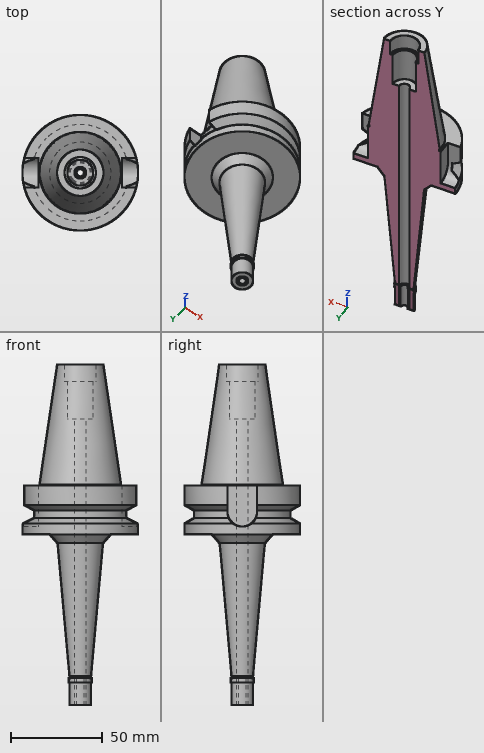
import cadquery as cq

total_height = 185.4

taper_end_radius = 12.6
taper_base_radius = 22.2
taper_length = 65.5
pilot_radius = 8.5
pilot_depth = 9.3
thread_radius = 7.0
thread_depth = 29.7
through_radius = 3.2

flange_radius = 31.5
neck_radius = 26.3
land_radius = 21.7
land_height = 0.4
flange_height = 26.7
upper_rim_height = 10.8
lower_rim_height = 6.0
upper_bevel_height = 3.0
lower_bevel_height = 3.0

slot_width = 16.1
slot_floor_distance = 22.6
slot_depth = 22.5

shoulder_top_radius = 16.7
shoulder_bottom_radius = 12.5
shoulder_height = 4.8
nose_tip_radius = 6.0
nose_bevel_radius = 5.4
nose_bevel_height = 1.1

nut_radius = 6.0
collar_radius = 6.3
nut_height = 14.6
collar_height = 2.2
collet_bore_radius = 2.0

taper_base_z = total_height - taper_length
flange_top_z = taper_base_z - land_height
flange_bottom_z = flange_top_z - flange_height
neck_top_z = flange_top_z - upper_rim_height - upper_bevel_height
neck_bottom_z = flange_bottom_z + lower_rim_height + lower_bevel_height
shoulder_bottom_z = flange_bottom_z - shoulder_height


def cylinder(radius, bottom_z, top_z):
    return cq.Workplane("XY").workplane(offset=bottom_z).circle(radius).extrude(top_z - bottom_z)


def make_holder_blank():
    """Revolve the outer profile of the holder, from the nose tip up to the taper end."""
    profile = [
        (0, nut_height),
        (nose_bevel_radius, nut_height),
        (nose_tip_radius, nut_height + nose_bevel_height),
        (shoulder_bottom_radius, shoulder_bottom_z),
        (shoulder_top_radius, flange_bottom_z),
        (flange_radius, flange_bottom_z),
        (flange_radius, flange_bottom_z + lower_rim_height),
        (neck_radius, neck_bottom_z),
        (neck_radius, neck_top_z),
        (flange_radius, flange_top_z - upper_rim_height),
        (flange_radius, flange_top_z),
        (land_radius, flange_top_z),
        (land_radius, taper_base_z),
        (taper_base_radius, taper_base_z),
        (taper_end_radius, total_height),
        (0, total_height),
    ]
    return cq.Workplane("XZ").polyline(profile).close().revolve(360, (0, 0), (0, 1))


def make_holder_bore():
    """Stepped bore: wide pilot, threaded length, then a narrow hole down to the nut."""
    pilot = cylinder(pilot_radius, total_height - pilot_depth, total_height)
    thread = cylinder(thread_radius, total_height - thread_depth, total_height)
    through = cylinder(through_radius, nut_height, total_height)
    return pilot.union(thread).union(through)


def make_drive_slot(side):
    """Round-bottomed slot, open at the top and outside; side is -1 for -X and +1 for +X."""
    slot_radius = slot_width / 2
    arc_center_z = flange_top_z - slot_depth + slot_radius
    return (
        cq.Workplane("YZ")
        .workplane(offset=side * slot_floor_distance)
        .moveTo(-slot_radius, flange_top_z)
        .lineTo(-slot_radius, arc_center_z)
        .threePointArc((0, arc_center_z - slot_radius), (slot_radius, arc_center_z))
        .lineTo(slot_radius, flange_top_z)
        .close()
        .extrude(side * flange_radius)
    )


def make_holder():
    holder = make_holder_blank().cut(make_holder_bore())
    for side in (-1, 1):
        holder = holder.cut(make_drive_slot(side))
    return holder


def make_nut():
    """Sleeve below the nose tip, with a raised collar at its top and a bore for the collet."""
    sleeve = cylinder(nut_radius, 0, nut_height)
    collar = cylinder(collar_radius, nut_height - collar_height, nut_height)
    return sleeve.union(collar).cut(cylinder(through_radius, 0, nut_height))


def make_collet():
    """Plain tube that fills the nut's bore."""
    return cylinder(through_radius, 0, nut_height).cut(cylinder(collet_bore_radius, 0, nut_height))


holder = make_holder()
nut = make_nut()
collet = make_collet()

result = cq.Compound.makeCompound([holder.val(), nut.val(), collet.val()])